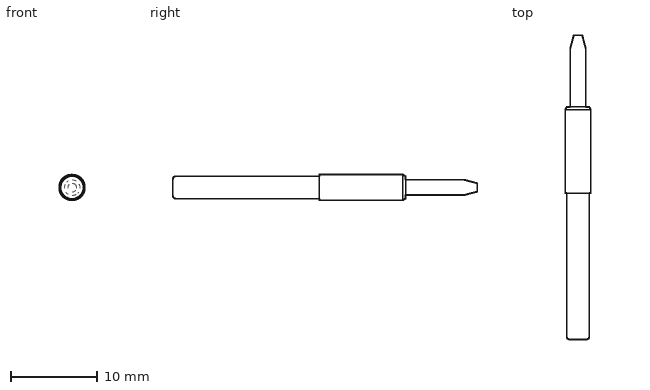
import cadquery as cq
import math

total_length = 35.3
body_length = 17.0
collar_length = 10.0
tip_length = 1.5

tip_diameter = 1.0
pin_diameter = 1.8
collar_diameter = 3.0
body_diameter = 2.65

collar_chamfer_length = 0.35
collar_chamfer_depth = 0.2
rear_round = 0.4

collar_front = body_length + collar_length
tip_start = total_length - tip_length

tip_radius = tip_diameter / 2
pin_radius = pin_diameter / 2
collar_radius = collar_diameter / 2
body_radius = body_diameter / 2


def half_profile():
    """Half section in the XY plane, from the rear end to the tip."""
    round_center_radius = body_radius - rear_round
    round_middle = (
        round_center_radius + rear_round * math.sin(math.pi / 4),
        rear_round - rear_round * math.cos(math.pi / 4),
    )
    return (
        cq.Workplane("XY")
        .moveTo(0, 0)
        .lineTo(round_center_radius, 0)
        .threePointArc(round_middle, (body_radius, rear_round))
        .lineTo(body_radius, body_length)
        .lineTo(collar_radius, body_length)
        .lineTo(collar_radius, collar_front - collar_chamfer_length)
        .lineTo(collar_radius - collar_chamfer_depth, collar_front)
        .lineTo(pin_radius, collar_front)
        .lineTo(pin_radius, tip_start)
        .lineTo(tip_radius, total_length)
        .lineTo(0, total_length)
        .close()
    )


result = half_profile().revolve(360, (0, 0, 0), (0, 1, 0))